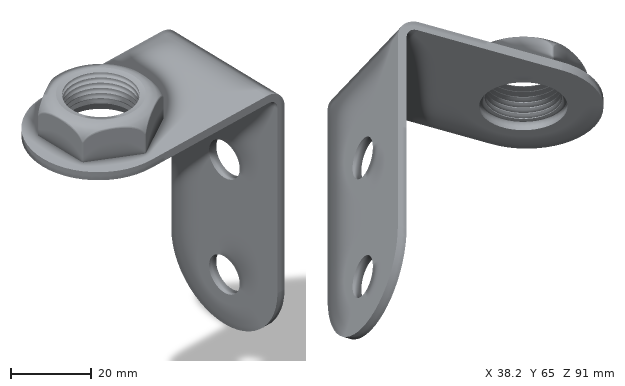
import cadquery as cq
import math

WIDTH = 38.2
THICKNESS = 2.5
FLANGE_LENGTH = 65.0
NUT_HEIGHT = 10.0
LEG_HEIGHT = 91.0 - NUT_HEIGHT
OUTER_BEND_RADIUS = 6.0
INNER_BEND_RADIUS = 3.0
END_RADIUS = WIDTH / 2

SCREW_HOLE_DIAMETER = 11.0
LOWER_HOLE_TO_END = 15.0
HOLE_SPACING = 35.0

CLEARANCE_HOLE_DIAMETER = 22.0
NUT_TO_TIP = 20.0
NUT_Y = NUT_TO_TIP - FLANGE_LENGTH
ACROSS_FLATS = 28.0
ACROSS_CORNERS = ACROSS_FLATS / math.cos(math.radians(30))
CORNER_RADIUS = 0.6
CROWN_RADIUS = 5.0
CROWN_EDGE_RADIUS = 0.5
CROWN_BASE = NUT_HEIGHT - CROWN_RADIUS

BORE_RADIUS = 9.65
ROOT_RADIUS = 10.9
MOUTH_RADIUS = ACROSS_CORNERS / 2 - CROWN_RADIUS
GROOVE_COUNT = 6
CREST_WIDTH = 0.2
MOUTH_DEPTH = 0.4
THREAD_PITCH = (NUT_HEIGHT - MOUTH_DEPTH - CREST_WIDTH) / GROOVE_COUNT


def round_ended_strip(plane, length, depth):
    """Strip running from the bend to a full-radius end, extruded to the far side of the part."""
    straight_end = END_RADIUS - length
    extrusion = depth if plane == "XZ" else -depth
    return (
        cq.Workplane(plane)
        .moveTo(-WIDTH / 2, 0)
        .lineTo(-WIDTH / 2, straight_end)
        .threePointArc((0, -length), (WIDTH / 2, straight_end))
        .lineTo(WIDTH / 2, 0)
        .close()
        .extrude(extrusion)
    )


def make_bracket():
    profile = (
        cq.Workplane("YZ")
        .polyline([
            (0, 0),
            (-FLANGE_LENGTH, 0),
            (-FLANGE_LENGTH, -THICKNESS),
            (-THICKNESS, -THICKNESS),
            (-THICKNESS, -LEG_HEIGHT),
            (0, -LEG_HEIGHT),
        ])
        .close()
        .extrude(WIDTH / 2, both=True)
    )
    outer_bend = cq.selectors.NearestToPointSelector((0, 0, 0))
    inner_bend = cq.selectors.NearestToPointSelector((0, -THICKNESS, -THICKNESS))
    bracket = profile.edges(outer_bend).fillet(OUTER_BEND_RADIUS)
    bracket = bracket.edges(inner_bend).fillet(INNER_BEND_RADIUS)

    bracket = bracket.intersect(round_ended_strip("XY", FLANGE_LENGTH, LEG_HEIGHT))
    bracket = bracket.intersect(round_ended_strip("XZ", LEG_HEIGHT, FLANGE_LENGTH))

    lower_hole_z = LOWER_HOLE_TO_END - LEG_HEIGHT
    screw_holes = (
        cq.Workplane("XZ")
        .pushPoints([(0, lower_hole_z), (0, lower_hole_z + HOLE_SPACING)])
        .circle(SCREW_HOLE_DIAMETER / 2)
        .extrude(THICKNESS)
    )

    clearance_hole = (
        cq.Workplane("XY")
        .center(0, NUT_Y)
        .circle(CLEARANCE_HOLE_DIAMETER / 2)
        .extrude(-THICKNESS)
    )
    return bracket.cut(screw_holes).cut(clearance_hole)


def make_nut():
    hexagon = (
        cq.Workplane("XY")
        .polygon(6, ACROSS_CORNERS)
        .extrude(NUT_HEIGHT)
        .edges("|Z")
        .fillet(CORNER_RADIUS)
    )

    crown = (
        cq.Workplane("XY")
        .circle(ACROSS_CORNERS / 2)
        .extrude(NUT_HEIGHT)
        .faces(">Z")
        .edges()
        .fillet(CROWN_RADIUS)
    )
    nut = hexagon.intersect(crown)

    arched_edges = nut.edges(cq.selectors.BoxSelector(
        (-ACROSS_CORNERS, -ACROSS_CORNERS, CROWN_BASE),
        (ACROSS_CORNERS, ACROSS_CORNERS, NUT_HEIGHT),
    ))
    nut = arched_edges.fillet(CROWN_EDGE_RADIUS)
    return nut.cut(make_thread_bore()).translate((0, NUT_Y, 0))


def make_thread_bore():
    """Cutting body: a half-profile in radius and height, turned about the bore axis."""
    outline = [(0, NUT_HEIGHT), (MOUTH_RADIUS, NUT_HEIGHT)]
    groove_top = NUT_HEIGHT - MOUTH_DEPTH
    outline.append((BORE_RADIUS, groove_top))

    for index in range(GROOVE_COUNT):
        crest_top = groove_top - index * THREAD_PITCH
        crest_bottom = crest_top - CREST_WIDTH
        next_crest_top = crest_top - THREAD_PITCH
        outline += [
            (BORE_RADIUS, crest_bottom),
            (ROOT_RADIUS, (crest_bottom + next_crest_top) / 2),
            (BORE_RADIUS, next_crest_top),
        ]

    outline += [(BORE_RADIUS, 0), (0, 0)]
    return (
        cq.Workplane("XZ")
        .polyline(outline)
        .close()
        .revolve(360, (0, 0, 0), (0, 1, 0))
    )


bracket = make_bracket()
nut = make_nut()
result = cq.Compound.makeCompound([bracket.val(), nut.val()])